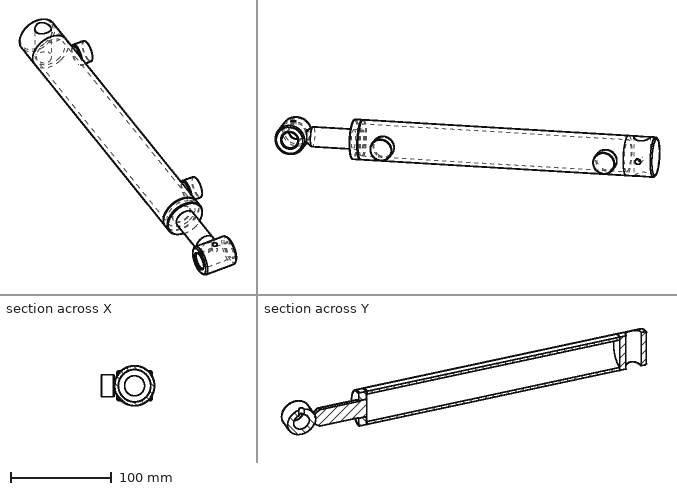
import cadquery as cq


barrel_diameter = 40.0
barrel_bore = 32.0
barrel_length = 308.0
base_length = 29.0
gland_length = 8.0
base_chamfer = 1.5
gland_chamfer = 0.8
ring_width = 1.0
gland_start = barrel_length - gland_length
tube_end = gland_start - ring_width
tube_length = tube_end - base_length

pin_diameter = 16.2
base_pin_x = 14.0
base_grease_diameter = 5.5

port_diameter = 22.0
port_top_y = 33.0
port_seat_chamfer = 1.0
port_top_chamfer = 0.5
port_positions = (46.0, 272.8)
port_seat_y = barrel_diameter / 2
port_height = port_top_y - port_seat_y

rod_diameter = 20.0
rod_shoulder_x = 349.5
rod_taper_length = 5.0
rod_neck_diameter = 13.0

overall_length = 384.0
eye_diameter = 30.0
eye_width = 35.0
eye_rim_chamfer = 1.5
eye_bore_chamfer = 1.0
eye_grease_diameter = 5.0
eye_x = overall_length - eye_diameter / 2


def axial_cylinder(diameter, start_x, length):
    """Solid cylinder on the X axis."""
    return cq.Workplane("YZ", origin=(start_x, 0, 0)).circle(diameter / 2).extrude(length)


def make_base_plug():
    """End plug with a chamfered outer rim, a pin hole along Z and a grease hole from +Y."""
    plug = axial_cylinder(barrel_diameter, 0, base_length).faces("<X").chamfer(base_chamfer)
    pin_hole = (
        cq.Workplane("XY")
        .center(base_pin_x, 0)
        .circle(pin_diameter / 2)
        .extrude(barrel_diameter / 2, both=True)
    )
    grease_hole = (
        cq.Workplane("XZ")
        .center(base_pin_x, 0)
        .circle(base_grease_diameter / 2)
        .extrude(-barrel_diameter / 2)
    )
    return plug.cut(pin_hole).cut(grease_hole)


def make_tube():
    """Plain open tube between the base plug and the gland."""
    tube = axial_cylinder(barrel_diameter, base_length, tube_length)
    return tube.cut(axial_cylinder(barrel_bore, base_length, tube_length))


def make_seal_ring():
    """Thin ring clamped between the tube and the gland."""
    ring = axial_cylinder(barrel_diameter, tube_end, ring_width)
    return ring.cut(axial_cylinder(rod_diameter, tube_end, ring_width))


def make_gland():
    """Rod guide at the open end of the barrel, with a chamfered outer rim."""
    gland = axial_cylinder(barrel_diameter, gland_start, gland_length)
    gland = gland.faces(">X").chamfer(gland_chamfer)
    return gland.cut(axial_cylinder(rod_diameter, gland_start, gland_length))


def make_port(port_x):
    """Round port boss, chamfered at its top and where it rests on the barrel."""
    boss = (
        cq.Workplane("XZ", origin=(port_x, port_seat_y, 0))
        .circle(port_diameter / 2)
        .extrude(-port_height)
    )
    return boss.faces("<Y").chamfer(port_seat_chamfer).faces(">Y").chamfer(port_top_chamfer)


def eye_blank():
    """Solid cylinder of the rod eye, lying along Y."""
    return (
        cq.Workplane("XZ", origin=(eye_x, -eye_width / 2, 0))
        .circle(eye_diameter / 2)
        .extrude(-eye_width)
    )


def make_rod():
    """Round rod that tapers to a neck saddled against the rod eye."""
    taper_end_x = rod_shoulder_x + rod_taper_length
    rod = (
        cq.Workplane("XY")
        .moveTo(tube_end, 0)
        .lineTo(tube_end, rod_diameter / 2)
        .lineTo(rod_shoulder_x, rod_diameter / 2)
        .lineTo(taper_end_x, rod_neck_diameter / 2)
        .lineTo(eye_x, rod_neck_diameter / 2)
        .lineTo(eye_x, 0)
        .close()
        .revolve(360, (0, 0, 0), (1, 0, 0))
    )
    return rod.cut(eye_blank())


def make_rod_eye():
    """Rod eye with a pin bore along Y and a grease hole from above."""
    pin_bore = (
        cq.Workplane("XZ", origin=(eye_x, -eye_width / 2, 0))
        .circle(pin_diameter / 2)
        .extrude(-eye_width)
    )
    grease_hole = (
        cq.Workplane("XY")
        .center(eye_x, 0)
        .circle(eye_grease_diameter / 2)
        .extrude(eye_diameter / 2)
    )
    eye = eye_blank().faces("<Y or >Y").chamfer(eye_rim_chamfer).cut(pin_bore)
    bore_edges = eye.faces("<Y or >Y").edges(cq.selectors.RadiusNthSelector(0))
    return bore_edges.chamfer(eye_bore_chamfer).cut(grease_hole)


ports = [make_port(port_x).val() for port_x in port_positions]

result = cq.Compound.makeCompound([
    make_base_plug().val(),
    make_tube().val(),
    make_seal_ring().val(),
    make_gland().val(),
    make_rod().val(),
    make_rod_eye().val(),
    *ports,
])